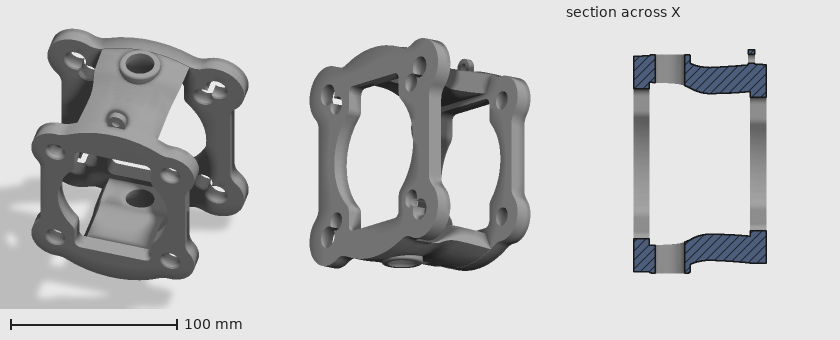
import cadquery as cq
import math

WIDTH = 123.66
LENGTH = 80.0
FRONT_THICKNESS = 10.0
BACK_THICKNESS = 9.6
BACK_Y = LENGTH - BACK_THICKNESS

FLANGE_FILLET = 10.0
FRONT_BOLT_OFFSET = 36.06
FRONT_LOBE_RADIUS = 15.15
FRONT_CROWN_RADIUS = 60.1
FRONT_HALF_WIDTH = 45.3
BACK_LOBE_OFFSET = 44.2
BACK_LOBE_RADIUS = WIDTH / 2 - BACK_LOBE_OFFSET
BACK_CROWN_RADIUS = 65.2
BACK_HALF_WIDTH = 53.0

FRONT_BOLT_DIAMETER = 11.2
BOLT_CHAMFER = 0.8
BACK_BOLT_DIAMETER = 13.0

WINDOW_HALF_WIDTH = 24.0
WINDOW_CORNER_RADIUS = 4.0
WINDOW_SHOULDER_RADIUS = 6.0
FRONT_WINDOW_HALF_HEIGHT = 40.1
FRONT_BORE_RADIUS = 34.7
BACK_WINDOW_HALF_HEIGHT = 45.0
BACK_BORE_RADIUS = 38.0

BRIDGE_HALF_ANGLE = 25.0
WAVE_START_Y = 55.2
WAVE_END_Y = 33.9
OUTER_INFLECTION_Y = 48.1
INNER_INFLECTION_Y = 45.2
OUTER_BACK_RADIUS = 64.8
OUTER_RADII = (63.95, 61.7, 58.3, 59.9)
INNER_BACK_Z = 48.9
INNER_HEIGHTS = (48.3, 45.2, 42.2, 43.4)

BOSS_DIAMETER = 25.0
BOSS_TOP_Z = 65.9
BOSS_FILLET = 1.5
BOSS_Y = LENGTH - 21.9
BOSS_ROOT_Z = 56.0
PORT_DIAMETER = 17.3

EYE_TOP_Z = 68.8
EYE_DIAMETER = 11.0
EYE_HOLE_DIAMETER = 5.08
EYE_FRONT_Y = 7.0
EYE_THICKNESS = 4.0
EYE_ROOT_Z = 56.0

CORNERS = [(sx, sz) for sx in (-1, 1) for sz in (-1, 1)]


def plane_at(y):
    """Sketch plane at depth y; a negative extrusion goes towards +Y."""
    return cq.Workplane("XZ", origin=(0, y, 0))


def toward(start, end, distance):
    """Point at a distance from start on the line to end."""
    scale = distance / math.dist(start, end)
    return tuple(s + (e - s) * scale for s, e in zip(start, end))


def middle(start, end):
    """Point halfway between start and end."""
    return tuple((s + e) / 2 for s, e in zip(start, end))


def flange_blank(y, thickness, lobe_offset, lobe_radius, crown_radius, half_width):
    """Flange without openings: one quadrant mirrored twice."""
    origin = (0, 0)
    lobe = (lobe_offset, lobe_offset)
    reach = lobe_radius + FLANGE_FILLET

    side_x = half_width + FLANGE_FILLET
    side_z = lobe_offset - math.sqrt(reach**2 - (side_x - lobe_offset) ** 2)
    side = (side_x, side_z)
    side_start = (half_width, side_z)
    side_end = toward(lobe, side, lobe_radius)

    diagonal = math.dist(origin, lobe)
    crown_reach = crown_radius + FLANGE_FILLET
    along = (crown_reach**2 - reach**2 + diagonal**2) / (2 * diagonal)
    across = math.sqrt(crown_reach**2 - along**2)
    crown = ((along - across) / math.sqrt(2), (along + across) / math.sqrt(2))
    crown_start = toward(lobe, crown, lobe_radius)
    crown_end = toward(origin, crown, crown_radius)

    side_middle = toward(side, middle(side_start, side_end), FLANGE_FILLET)
    lobe_tip = toward(lobe, (2 * lobe_offset, 2 * lobe_offset), lobe_radius)
    blend_middle = toward(crown, middle(crown_start, crown_end), FLANGE_FILLET)
    crown_top = (0, crown_radius)
    crown_middle = toward(origin, middle(crown_end, crown_top), crown_radius)

    quadrant = (
        plane_at(y)
        .lineTo(half_width, 0)
        .lineTo(*side_start)
        .threePointArc(side_middle, side_end)
        .threePointArc(lobe_tip, crown_start)
        .threePointArc(blend_middle, crown_end)
        .threePointArc(crown_middle, crown_top)
        .close()
        .extrude(-thickness)
    )
    half = quadrant.union(quadrant.mirror("YZ"))
    return half.union(half.mirror("XY")).clean()


def window(y, thickness, half_height, bore_radius):
    """Cutter for the central opening of a flange."""
    opening = (
        plane_at(y)
        .rect(2 * WINDOW_HALF_WIDTH, 2 * half_height)
        .extrude(-thickness)
        .edges("|Y")
        .fillet(WINDOW_CORNER_RADIUS)
        .union(plane_at(y).circle(bore_radius).extrude(-thickness))
    )
    shoulder_z = math.sqrt(bore_radius**2 - WINDOW_HALF_WIDTH**2)
    tolerance = 0.01
    return (
        opening.edges("|Y")
        .filter(lambda edge: abs(abs(edge.Center().z) - shoulder_z) < tolerance)
        .fillet(WINDOW_SHOULDER_RADIUS)
    )


def bolt_holes(y, thickness, offset, diameter):
    """Cutter for four corner holes with a bevel at depth y."""
    centres = [(sx * offset, sz * offset) for sx, sz in CORNERS]
    radius = diameter / 2
    holes = plane_at(y).pushPoints(centres).circle(radius).extrude(-thickness)
    bevel = cq.Solid.makeCone(radius + BOLT_CHAMFER, radius, BOLT_CHAMFER, dir=cq.Vector(0, 1, 0))
    for x, z in centres:
        holes = holes.union(cq.Workplane(bevel.translate(cq.Vector(x, y, z))))
    return holes


def wave_profile(workplane, back_distance, distances, inflection_y, place):
    """Closed half profile from the Y axis out to a chain of tangent arcs between the flanges.

    place(distance, y) gives the sketch coordinates of a point at that distance from the axis.
    """
    stations = (WAVE_START_Y, inflection_y, WAVE_END_Y, FRONT_THICKNESS)
    profile = workplane.moveTo(*place(0, BACK_Y)).lineTo(*place(back_distance, BACK_Y))
    here = (back_distance, BACK_Y)
    heading = -math.pi / 2
    for there in zip(distances, stations):
        chord = math.atan2(there[1] - here[1], there[0] - here[0])
        turn = chord - heading
        sagitta = math.dist(here, there) / 2 * math.tan(turn / 2)
        middle_distance = (here[0] + there[0]) / 2 + sagitta * math.sin(chord)
        middle_y = (here[1] + there[1]) / 2 - sagitta * math.cos(chord)
        profile = profile.threePointArc(place(middle_distance, middle_y), place(*there))
        heading = chord + turn
        here = there
    return profile.lineTo(*place(0, FRONT_THICKNESS)).close()


def bridges():
    """Upper and lower walls that join the two flanges."""
    outer_profile = wave_profile(
        cq.Workplane("XY"),
        OUTER_BACK_RADIUS,
        OUTER_RADII,
        OUTER_INFLECTION_Y,
        lambda distance, y: (distance, y),
    )
    outside = outer_profile.revolve(360, (0, 0, 0), (0, 1, 0))

    inner_profile = wave_profile(
        cq.Workplane("YZ"),
        INNER_BACK_Z,
        INNER_HEIGHTS,
        INNER_INFLECTION_Y,
        lambda distance, y: (y, distance),
    )
    inside = inner_profile.extrude(OUTER_BACK_RADIUS, both=True)

    height = OUTER_BACK_RADIUS
    half_spread = height * math.tan(math.radians(BRIDGE_HALF_ANGLE))
    wedge = plane_at(0).polyline([(0, 0), (half_spread, height), (-half_spread, height)]).close()
    bridge = outside.intersect(wedge.extrude(-LENGTH)).cut(inside)
    return bridge.union(bridge.mirror("XY"))


def bosses():
    """Round bosses standing on the upper and lower bridges."""
    boss = (
        cq.Workplane("XY", origin=(0, BOSS_Y, BOSS_ROOT_Z))
        .circle(BOSS_DIAMETER / 2)
        .extrude(BOSS_TOP_Z - BOSS_ROOT_Z)
        .faces(">Z")
        .edges()
        .fillet(BOSS_FILLET)
    )
    return boss.union(boss.mirror("XY"))


def ports():
    """Cutter through both bosses and bridges."""
    return (
        cq.Workplane("XY", origin=(0, BOSS_Y, 0))
        .circle(PORT_DIAMETER / 2)
        .extrude(BOSS_TOP_Z, both=True)
    )


def eye():
    """Round-topped tab with a cross hole."""
    radius = EYE_DIAMETER / 2
    centre_z = EYE_TOP_Z - radius
    tab = (
        plane_at(EYE_FRONT_Y)
        .moveTo(-radius, EYE_ROOT_Z)
        .lineTo(radius, EYE_ROOT_Z)
        .lineTo(radius, centre_z)
        .threePointArc((0, EYE_TOP_Z), (-radius, centre_z))
        .close()
        .extrude(-EYE_THICKNESS)
    )
    hole = plane_at(EYE_FRONT_Y).center(0, centre_z).circle(EYE_HOLE_DIAMETER / 2)
    return tab.cut(hole.extrude(-EYE_THICKNESS))


front_flange = flange_blank(
    0, FRONT_THICKNESS, FRONT_BOLT_OFFSET, FRONT_LOBE_RADIUS, FRONT_CROWN_RADIUS, FRONT_HALF_WIDTH
)
front_flange = front_flange.cut(window(0, FRONT_THICKNESS, FRONT_WINDOW_HALF_HEIGHT, FRONT_BORE_RADIUS))
front_flange = front_flange.cut(bolt_holes(0, FRONT_THICKNESS, FRONT_BOLT_OFFSET, FRONT_BOLT_DIAMETER))

back_flange = flange_blank(
    BACK_Y, BACK_THICKNESS, BACK_LOBE_OFFSET, BACK_LOBE_RADIUS, BACK_CROWN_RADIUS, BACK_HALF_WIDTH
)
back_flange = back_flange.cut(window(BACK_Y, BACK_THICKNESS, BACK_WINDOW_HALF_HEIGHT, BACK_BORE_RADIUS))
back_flange = back_flange.cut(bolt_holes(BACK_Y, BACK_THICKNESS, FRONT_BOLT_OFFSET, FRONT_BOLT_DIAMETER))
back_flange = back_flange.cut(bolt_holes(BACK_Y, BACK_THICKNESS, BACK_LOBE_OFFSET, BACK_BOLT_DIAMETER))

result = front_flange.union(back_flange).union(bridges()).union(bosses()).cut(ports()).union(eye())